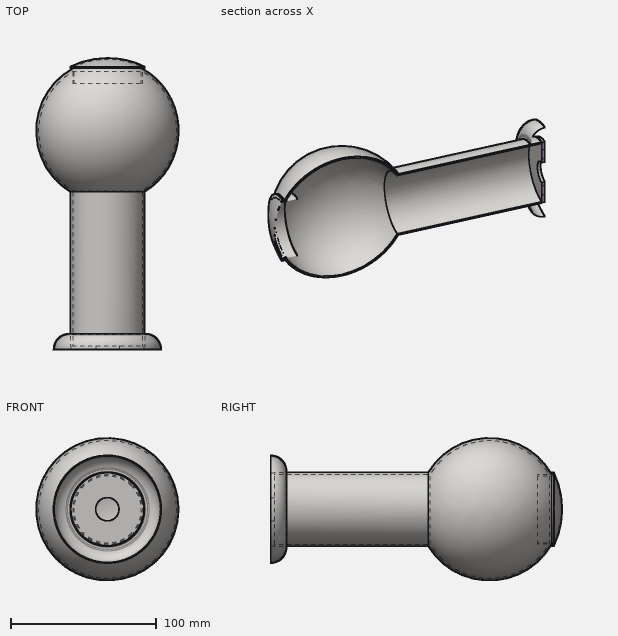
import cadquery as cq
import math


plate_diameter = 50.0
plate_thickness = 2.5
plate_hole = 16.0

tube_diameter = 51.0
tube_bore = 47.8
body_wall = (tube_diameter - tube_bore) / 2
ball_diameter = 98.0
ball_radius = ball_diameter / 2
ball_center_y = 150.0
mouth_diameter = tube_bore
ball_top_y = ball_center_y + math.sqrt(ball_radius**2 - (mouth_diameter / 2) ** 2)

cap_diameter = 51.0
cap_wall = 0.8
cap_rim_height = 1.3
cap_top_y = 200.01
spigot_diameter = 47.7
spigot_length = 10.0

flange_diameter = 74.0
flange_height = 11.0
flange_wall = 0.5
bevel_diameter = 57.0
flat_diameter = 55.0


def turned(profile):
    """Close a profile (radius along X, height along Y) and revolve it about the Y axis."""
    return profile.close().revolve(360, (0, 0, 0), (0, 1, 0))


def circle_height(radius, center_r, center_y, r):
    """Height of the upper half of a profile circle at distance r from the axis."""
    return center_y + math.sqrt(radius**2 - (r - center_r) ** 2)


def make_base_plate():
    hole_radius = plate_hole / 2
    plate_radius = plate_diameter / 2
    profile = (
        cq.Workplane("XY")
        .moveTo(hole_radius, 0)
        .lineTo(plate_radius, 0)
        .lineTo(plate_radius, plate_thickness)
        .lineTo(hole_radius, plate_thickness)
    )
    return turned(profile)


def make_body():
    outer_radius = tube_diameter / 2
    inner_radius = tube_bore / 2
    mouth_radius = mouth_diameter / 2
    hollow_radius = ball_radius - body_wall

    neck_y = ball_center_y - math.sqrt(ball_radius**2 - outer_radius**2)
    inner_neck_y = ball_center_y - math.sqrt(hollow_radius**2 - inner_radius**2)
    inner_mouth_y = circle_height(hollow_radius, 0, ball_center_y, mouth_radius)
    profile = (
        cq.Workplane("XY")
        .moveTo(inner_radius, plate_thickness)
        .lineTo(outer_radius, plate_thickness)
        .lineTo(outer_radius, neck_y)
        .threePointArc((ball_radius, ball_center_y), (mouth_radius, ball_top_y))
        .lineTo(mouth_radius, inner_mouth_y)
        .threePointArc((hollow_radius, ball_center_y), (inner_radius, inner_neck_y))
    )
    return turned(profile)


def make_cap():
    rim_radius = cap_diameter / 2
    rim_top_y = ball_top_y + cap_rim_height
    spigot_radius = spigot_diameter / 2
    spigot_bore = spigot_radius - cap_wall
    spigot_end_y = ball_top_y - spigot_length

    rise = cap_top_y - rim_top_y
    dome_radius = (rim_radius**2 + rise**2) / (2 * rise)
    dome_center_y = cap_top_y - dome_radius

    def outside(r):
        return r, circle_height(dome_radius, 0, dome_center_y, r)

    def inside(r):
        return r, circle_height(dome_radius - cap_wall, 0, dome_center_y, r)

    profile = (
        cq.Workplane("XY")
        .moveTo(*outside(0))
        .threePointArc(outside(rim_radius / 2), outside(rim_radius))
        .lineTo(rim_radius, ball_top_y)
        .lineTo(spigot_radius, ball_top_y)
        .lineTo(spigot_radius, spigot_end_y)
        .lineTo(spigot_bore, spigot_end_y)
        .lineTo(*inside(spigot_bore))
        .threePointArc(inside(spigot_bore / 2), inside(0))
    )
    return turned(profile)


def make_flange():
    rim_radius = flange_diameter / 2
    hole_radius = tube_diameter / 2
    bevel_radius = bevel_diameter / 2
    flat_radius = flat_diameter / 2
    round_center_r = rim_radius - flange_height
    inner_rim_radius = rim_radius - flange_wall

    def outside(r):
        return r, circle_height(flange_height, round_center_r, 0, r)

    def inside(r):
        return r, circle_height(flange_height - flange_wall, round_center_r, 0, r)

    flat_y = inside(flat_radius)[1]
    profile = (
        cq.Workplane("XY")
        .moveTo(hole_radius, flange_height)
        .lineTo(round_center_r, flange_height)
        .threePointArc(outside((round_center_r + rim_radius) / 2), (rim_radius, 0))
        .lineTo(inner_rim_radius, 0)
        .threePointArc(inside((bevel_radius + inner_rim_radius) / 2), inside(bevel_radius))
        .lineTo(flat_radius, flat_y)
        .lineTo(hole_radius, flat_y)
    )
    return turned(profile)


base_plate = make_base_plate()
body = make_body()
cap = make_cap()
flange = make_flange()

result = cq.Compound.makeCompound([base_plate.val(), body.val(), cap.val(), flange.val()])